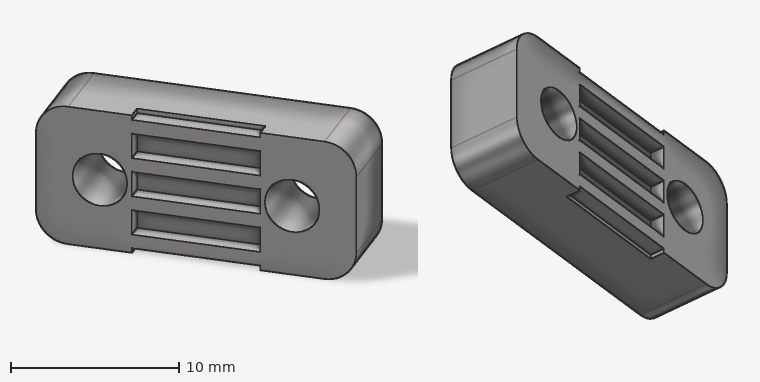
import cadquery as cq

length = 20
depth = 5
height = 9
corner_radius = 2

hole_diameter = 3.4
hole_spacing = 12

groove_length = 8
groove_height = 1.6
groove_depth = 1
groove_pitch = 2.5
groove_count = 5


def make_block():
    """Rounded block centred on the origin."""
    block = cq.Workplane("XY").box(length, depth, height)
    return block.edges("|Y").fillet(corner_radius)


def make_holes():
    """Two cylinders running through the full depth."""
    return (
        cq.Workplane("XZ")
        .pushPoints([(-hole_spacing / 2, 0), (hole_spacing / 2, 0)])
        .circle(hole_diameter / 2)
        .extrude(depth / 2, both=True)
    )


def make_grooves():
    """Evenly stacked bars sunk into the -Y face."""
    return (
        cq.Workplane("XZ", origin=(0, -depth / 2, 0))
        .rarray(groove_length, groove_pitch, 1, groove_count)
        .rect(groove_length, groove_height)
        .extrude(-groove_depth)
    )


result = make_block().cut(make_holes()).cut(make_grooves())